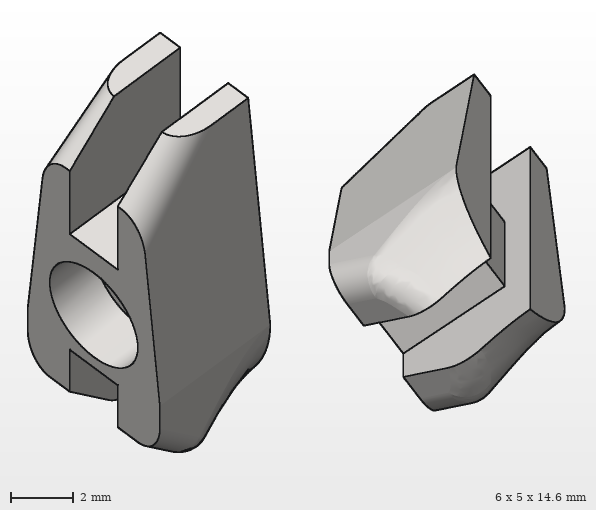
import cadquery as cq
import math

DEPTH = 5.0
FRONT = -DEPTH
TOP = 8.0
TOP_HALF_WIDTH = 2.0
HALF_WIDTH = 3.0
TAPER_START = -2.0
BLANK_BOTTOM = -9.0

SLOT_WIDTH = 2.17
UPPER_SLOT_FLOOR = 3.0
LOWER_SLOT_ROOF = -2.5
BACK_GROOVE_DEPTH = 1.0

HOLE_DIAMETER = 4.0
HOLE_DEPTH = 2.0

UPPER_CHAMFER = 2.0
LOWER_BEVEL_START = -4.5
EDGE_RADIUS = 1.0

SIDE_BEND = 2.29
SIDE_SLOPE = 1.44
WALL_START = -5.91
WALL_BEND = 0.65
WALL_SLOPE = 0.57
SECTION_START = -1.0
SECTION_COUNT = 6
SECTION_STEP = 1.0

MARGIN = 1.0
GAP = 0.05


def blank():
    outline = [
        (-TOP_HALF_WIDTH, TOP),
        (TOP_HALF_WIDTH, TOP),
        (HALF_WIDTH, TAPER_START),
        (HALF_WIDTH, BLANK_BOTTOM),
        (-HALF_WIDTH, BLANK_BOTTOM),
        (-HALF_WIDTH, TAPER_START),
    ]
    return cq.Workplane("XZ").polyline(outline).close().extrude(DEPTH)


def bevel_cutter(corner_z, size, direction):
    """Triangular bar removing a 45 degree bevel of the given size from the front face."""
    tip_z = corner_z + direction * size
    profile = [
        (FRONT - MARGIN, corner_z - direction * MARGIN),
        (FRONT + size, tip_z),
        (FRONT - MARGIN, tip_z),
    ]
    bar = cq.Workplane("YZ").polyline(profile).close()
    return bar.extrude(HALF_WIDTH + MARGIN, both=True)


def hyperbola_drop(distance, bend, slope):
    return math.hypot(bend, slope * distance) - bend


def underside_section(distance):
    """Closed wire below the rounded underside, at a distance in front of the back face."""
    side_z = TAPER_START - hyperbola_drop(distance, SIDE_BEND, SIDE_SLOPE)
    wall_z = WALL_START - hyperbola_drop(distance, WALL_BEND, WALL_SLOPE)
    run = HALF_WIDTH - SLOT_WIDTH / 2
    rise = side_z - wall_z
    radius = (rise**2 + run**2) / (2 * run)
    center_x = HALF_WIDTH - radius
    apex_z = side_z - math.sqrt(radius**2 - center_x**2)
    half_angle = math.acos(-center_x / radius) / 2
    mid_x = center_x + radius * math.cos(half_angle)
    mid_z = side_z - radius * math.sin(half_angle)
    outer_x = HALF_WIDTH + MARGIN
    base_z = BLANK_BOTTOM - MARGIN
    return (
        cq.Workplane("XZ", origin=(0, -distance, 0))
        .moveTo(outer_x, side_z)
        .lineTo(HALF_WIDTH, side_z)
        .threePointArc((mid_x, mid_z), (0, apex_z))
        .threePointArc((-mid_x, mid_z), (-HALF_WIDTH, side_z))
        .lineTo(-outer_x, side_z)
        .lineTo(-outer_x, base_z)
        .lineTo(outer_x, base_z)
        .close()
        .val()
    )


def underside_cutter():
    distances = [SECTION_START + i * SECTION_STEP for i in range(SECTION_COUNT)]
    sections = [underside_section(d) for d in distances]
    return cq.Workplane(cq.Solid.makeLoft(sections))


def slot_cutter(bottom, top, depth):
    """Box of slot width, reaching forward from the back face by the given depth."""
    box = cq.Workplane("XY").box(
        SLOT_WIDTH, depth + MARGIN, top - bottom, centered=(True, False, False)
    )
    return box.translate((0, -depth, bottom))


def hole_cutter():
    hole = cq.Workplane("XZ", origin=(0, FRONT, 0)).circle(HOLE_DIAMETER / 2)
    return hole.extrude(-HOLE_DEPTH)


def edges_within(body, low, high):
    """Edges of the body whose centers lie in the box between two corners."""
    return body.edges(cq.selectors.BoxSelector(low, high))


def round_bevel_sides(body):
    """Round the four edges where the two bevels meet the side faces."""
    outer_x = HALF_WIDTH + MARGIN
    for side in (-1, 1):
        for bottom, top in ((TOP - UPPER_CHAMFER, TOP), (BLANK_BOTTOM, LOWER_BEVEL_START)):
            low = (side * TOP_HALF_WIDTH, FRONT + GAP, bottom + GAP)
            high = (side * outer_x, -DEPTH / 2 + MARGIN, top - GAP)
            body = edges_within(body, low, high).fillet(EDGE_RADIUS)
    return body


def round_crest(body):
    """Round the lower crest of each leg, where the bevel meets the hollowed underside."""
    inner_x = SLOT_WIDTH / 2 + GAP
    outer_x = HALF_WIDTH - EDGE_RADIUS - GAP
    for side in (-1, 1):
        low = (side * inner_x, FRONT / 2 - MARGIN, BLANK_BOTTOM)
        high = (side * outer_x, FRONT / 2 + MARGIN, WALL_START)
        body = edges_within(body, low, high).fillet(EDGE_RADIUS)
    return body


body = blank()
body = body.cut(bevel_cutter(TOP - UPPER_CHAMFER, UPPER_CHAMFER + MARGIN, 1))
body = body.cut(bevel_cutter(LOWER_BEVEL_START, LOWER_BEVEL_START - BLANK_BOTTOM, -1))
body = round_bevel_sides(body)
body = body.cut(underside_cutter())
body = body.cut(slot_cutter(UPPER_SLOT_FLOOR, TOP + MARGIN, DEPTH + MARGIN))
body = body.cut(slot_cutter(BLANK_BOTTOM, LOWER_SLOT_ROOF, DEPTH + MARGIN))
body = round_crest(body)
body = body.cut(slot_cutter(BLANK_BOTTOM, TOP + MARGIN, BACK_GROOVE_DEPTH))
result = body.cut(hole_cutter())